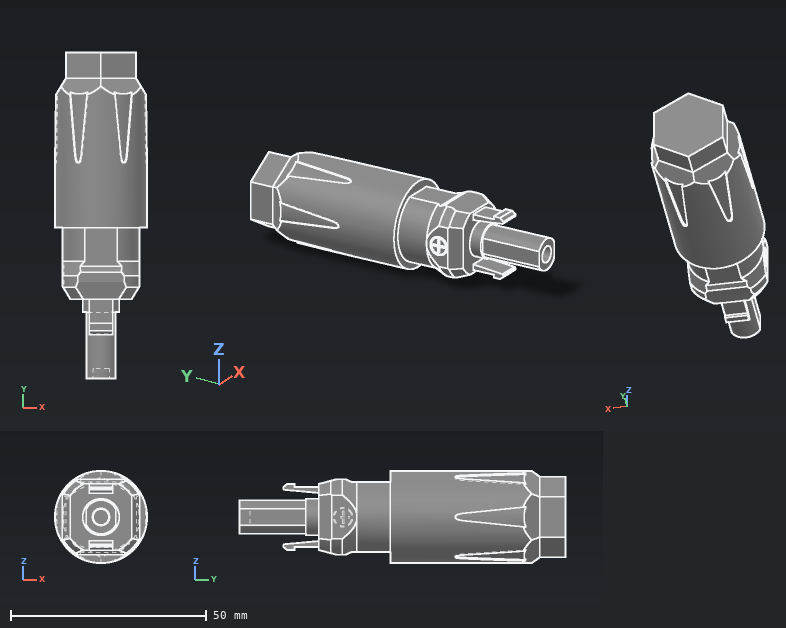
import cadquery as cq
import math


total_length = 83.6
collar_front = 17.0
nose_front = 20.3
nose_bevel_end = 23.4
side_bevel_end = 23.65
shoulder_front = 26.4
neck_front = 30.1
body_front = 38.7
hex_front = 77.0

body_radius = 11.85
hex_flats = 17.95
hex_taper_angle = 31.5
taper_overrun = 0.5
hex_sides = 6

recess_tip = 55.35
recess_depth = 0.4
recess_tip_length = 2.05
recess_tip_half_width = 0.95
recess_back_half_width = 2.95

neck_radius = 9.92
nose_radius = 11.36
nose_face_radius = 9.6
nose_half_width = 9.88
nose_face_half_width = 7.85
neck_half_height = 9.0
nose_half_height = 9.69
nose_face_half_height = 8.49
ramp_back = 28.75
ramp_front = 27.3
top_slope_start = 24.8

collar_radius = 4.7
tube_radius = 4.32
tube_half_width = 3.76
bore_mouth_radius = 2.2
bore_floor_radius = 2.05
bore_depth = 2.6

latch_width = 5.9
latch_outer_height = 7.7
latch_root_height = 6.14
latch_inner_height = 6.95
latch_hook_height = 8.49
latch_nose_top = 7.65
latch_nose_bottom = 7.25
latch_hook_back = 14.15
latch_hook_front = 12.2
latch_tip = 11.2
latch_inner_front = 11.5

mark_station = 26.5
mark_outer_radius = 2.5
mark_inner_radius = 2.25
plus_length = 3.2
plus_width = 0.4
mark_depth = 0.3


def axial_plane(station):
    """Plane across the axis, facing +Y, with local x along Z and local y along X."""
    return cq.Workplane(cq.Plane(origin=(0, station, 0), xDir=(0, 0, 1), normal=(0, 1, 0)))


def cylinder(start, end, radius):
    return axial_plane(start).circle(radius).extrude(end - start)


def hex_diameter(flats):
    """Across-corners size of a hexagon with the given across-flats size."""
    return flats / math.cos(math.pi / hex_sides)


def make_grip_recess():
    """Cutter for the recess facing +X; its floor is coaxial with the body."""
    shoulder = recess_tip + recess_tip_length
    side_run = hex_front - shoulder
    side_spread = recess_back_half_width - recess_tip_half_width
    outline = (
        cq.Workplane("YZ")
        .moveTo(shoulder, recess_tip_half_width)
        .lineTo(hex_front, recess_back_half_width)
        .lineTo(hex_front, -recess_back_half_width)
        .lineTo(shoulder, -recess_tip_half_width)
        .spline(
            [(recess_tip, 0), (shoulder, recess_tip_half_width)],
            tangents=[(-side_run, side_spread), (side_run, side_spread)],
            includeCurrent=True,
        )
        .close()
        .extrude(body_radius + recess_depth)
    )
    return outline.cut(cylinder(body_front, total_length, body_radius - recess_depth))


def make_cable_nut():
    taper_flats = 2 * (body_radius + taper_overrun)
    taper_length = (taper_flats - hex_flats) / 2 / math.tan(math.radians(hex_taper_angle))
    taper_start = hex_front - taper_length
    taper = (
        axial_plane(taper_start)
        .polygon(hex_sides, hex_diameter(taper_flats))
        .workplane(offset=taper_length)
        .polygon(hex_sides, hex_diameter(hex_flats))
        .loft(ruled=True)
    )
    body = cylinder(body_front, taper_start, body_radius)
    body = body.union(taper.intersect(cylinder(taper_start, hex_front, body_radius)))
    recess = make_grip_recess()
    for index in range(hex_sides):
        angle = index * 360 / hex_sides
        body = body.cut(recess.rotate((0, 0, 0), (0, 1, 0), angle))
    hex_end = (
        axial_plane(hex_front)
        .polygon(hex_sides, hex_diameter(hex_flats))
        .extrude(total_length - hex_front)
    )
    return body.union(hex_end)


def mirrored_prism(plane, half_outline, half_depth):
    """Prism symmetric about the axis, from (half size, station) points listed front to back."""
    far_side = [(-size, station) for size, station in reversed(half_outline)]
    return cq.Workplane(plane).polyline(half_outline + far_side).close().extrude(half_depth, both=True)


def make_nose():
    """Round profile trimmed to its side outline and its top and bottom outline."""
    rounded = (
        cq.Workplane("XY")
        .moveTo(0, nose_front)
        .lineTo(nose_face_radius, nose_front)
        .lineTo(nose_radius, nose_bevel_end)
        .lineTo(nose_radius, shoulder_front)
        .lineTo(neck_radius, neck_front)
        .lineTo(neck_radius, body_front)
        .lineTo(0, body_front)
        .close()
        .revolve(360, (0, 0, 0), (0, 1, 0))
    )
    side_outline = [
        (nose_face_half_width, nose_front),
        (nose_half_width, side_bevel_end),
        (nose_half_width, neck_front),
        (nose_radius, neck_front),
        (nose_radius, body_front),
    ]
    height_outline = [
        (nose_face_half_height, nose_front),
        (nose_half_height, top_slope_start),
        (nose_half_height, ramp_front),
        (neck_half_height, ramp_back),
        (neck_half_height, body_front),
    ]
    side_limits = mirrored_prism("XY", side_outline, nose_radius)
    zy_plane = cq.Plane(origin=(0, 0, 0), xDir=(0, 0, 1), normal=(-1, 0, 0))
    height_limits = mirrored_prism(zy_plane, height_outline, nose_radius)
    return rounded.intersect(side_limits).intersect(height_limits)


def make_plug_tube():
    flats = cq.Workplane("XY").box(2 * tube_half_width, 2 * nose_front, 2 * tube_radius)
    tube = cylinder(0, nose_front, tube_radius).intersect(flats)
    return tube.union(cylinder(collar_front, nose_front, collar_radius))


def make_bore():
    """Blind bore in the tip, narrowing slightly towards its floor."""
    mouth = axial_plane(0).circle(bore_mouth_radius)
    return mouth.workplane(offset=bore_depth).circle(bore_floor_radius).loft()


def make_latch_arm():
    """Upper latch arm with its outward hook, rooted at the nose face."""
    outline = [
        (nose_front, latch_root_height),
        (nose_front, latch_outer_height),
        (latch_hook_back, latch_outer_height),
        (latch_hook_back, latch_hook_height),
        (latch_hook_front, latch_hook_height),
        (latch_tip, latch_nose_top),
        (latch_tip, latch_nose_bottom),
        (latch_inner_front, latch_inner_height),
    ]
    return cq.Workplane("YZ").polyline(outline).close().extrude(latch_width / 2, both=True)


def make_polarity_mark():
    """Shallow ring groove and plus sign cut into the -X flat."""
    flat = cq.Workplane("YZ", origin=(-nose_half_width, 0, 0)).center(mark_station, 0)
    ring = flat.circle(mark_outer_radius).circle(mark_inner_radius).extrude(mark_depth)
    bar = flat.rect(plus_length, plus_width).extrude(mark_depth)
    post = flat.rect(plus_width, plus_length).extrude(mark_depth)
    return ring.union(bar.union(post))


latch_arm = make_latch_arm()
result = make_cable_nut().union(make_nose()).union(make_plug_tube())
result = result.union(latch_arm).union(latch_arm.mirror("XY"))
result = result.cut(make_bore()).cut(make_polarity_mark())